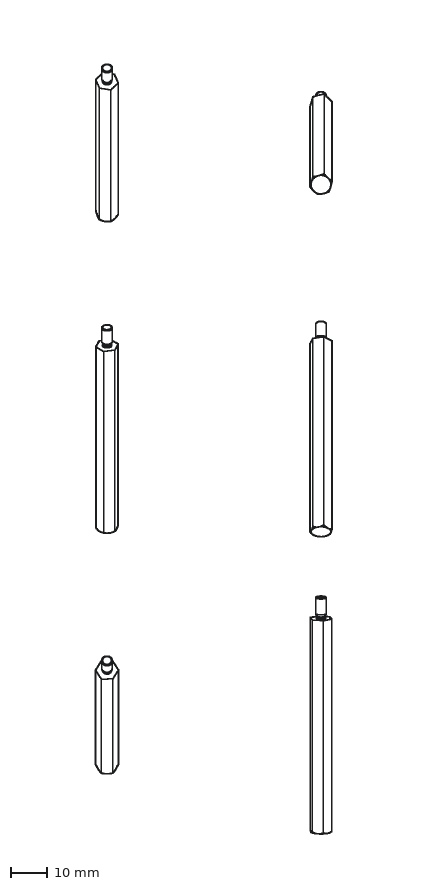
import cadquery as cq
import math

total_length = 66.0
stud_length = 6.0
across_flats = 5.5
stud_diameter = 3.0
neck_diameter = 2.1
tip_chamfer = 0.25
neck_top = 1.3
neck_bottom = 0.6
root_flare = 0.2
end_circle_diameter = 5.5

body_length = total_length - stud_length
across_corners = across_flats / math.cos(math.radians(30))
corner_radius = across_corners / 2
end_circle_radius = end_circle_diameter / 2
end_chamfer = corner_radius - end_circle_radius


def revolve_profile(points):
    """Turn a closed (radius, height) outline about the Z axis."""
    return cq.Workplane("XZ").polyline(points).close().revolve(360, (0, 0), (0, 1))


def make_body():
    """Hexagonal bar with its lower corners trimmed by a 45 degree cone."""
    bar = cq.Workplane("XY").polygon(6, across_corners).extrude(body_length)
    envelope = revolve_profile([
        (0, 0),
        (end_circle_radius, 0),
        (corner_radius, end_chamfer),
        (corner_radius, body_length),
        (0, body_length),
    ])
    return bar.intersect(envelope)


def make_stud():
    """Round stud with a chamfered tip and a tapered undercut above the shoulder."""
    stud_radius = stud_diameter / 2
    neck_radius = neck_diameter / 2
    return revolve_profile([
        (0, body_length),
        (neck_radius + root_flare, body_length),
        (neck_radius, body_length + root_flare),
        (neck_radius, body_length + neck_bottom),
        (stud_radius, body_length + neck_top),
        (stud_radius, total_length - tip_chamfer),
        (stud_radius - tip_chamfer, total_length),
        (0, total_length),
    ])


result = make_body().union(make_stud())